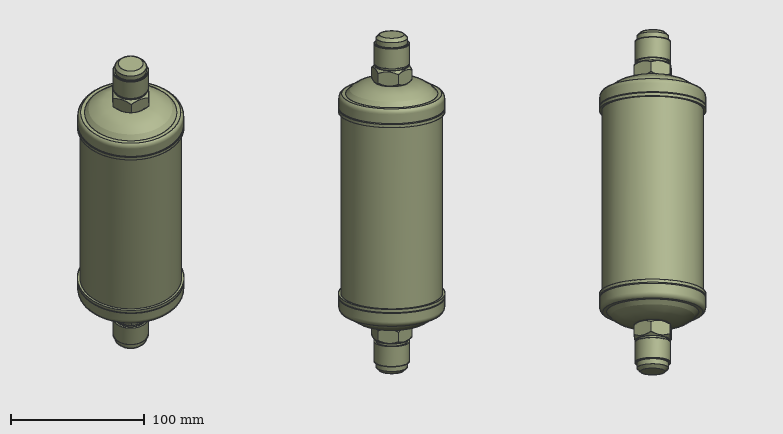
import cadquery as cq
import math

length = 264.0
half_length = length / 2

shell_radius = 76.3 / 2
cap_radius = 79.5 / 2
lip_radius = 80.0 / 2
lip_depth = 60.5
lip_height = 3.2
lip_taper_height = 0.8
shoulder_depth = 46.5
shoulder_inner_radius = 34.5
shoulder_outer_radius = 37.5
shoulder_drop = 3.7

dome_depth = 37.0
crown_radius = 14.8
dome_edge_radius = 31.5
dome_arc_drop = 6.0
dome_run = dome_edge_radius - crown_radius
dome_slope = 2 * math.atan(dome_arc_drop / dome_run)
dome_arc_radius = dome_run / math.sin(dome_slope)

nose_radius = 23.8 / 2
nose_chamfer = 2.6
thread_radius = 27.0 / 2
thread_top_depth = 6.5
thread_bottom_depth = 22.7
thread_chamfer = 0.5
hex_top_depth = 24.5
hex_flats = 27.0
hex_corners = hex_flats / math.cos(math.radians(30))
hex_height = dome_depth - hex_top_depth
hex_chamfer_angle = math.radians(40)
hex_chamfer_start = hex_flats / 2 - 0.8


def level(depth):
    """Height of a point lying the given depth below the upper end."""
    return half_length - depth


def dome_point(angle):
    """Point of the dome arc where the surface has the given slope."""
    radius = crown_radius + dome_arc_radius * math.sin(angle)
    drop = dome_arc_radius * (1 - math.cos(angle))
    return radius, level(dome_depth + drop)


def make_cap():
    """Upper end cap: lip, wall, rounded shoulder and dome."""
    shoulder_z = level(shoulder_depth)
    wall_top_z = shoulder_z - shoulder_drop
    lip_bottom_z = level(lip_depth)
    lip_top_z = lip_bottom_z + lip_height
    profile = (
        cq.Workplane("XZ")
        .moveTo(0, lip_bottom_z)
        .lineTo(lip_radius, lip_bottom_z)
        .lineTo(lip_radius, lip_top_z - lip_taper_height)
        .lineTo(cap_radius, lip_top_z)
        .lineTo(cap_radius, wall_top_z)
        .tangentArcPoint((shoulder_outer_radius, shoulder_z), relative=False)
        .lineTo(shoulder_inner_radius, shoulder_z)
        .lineTo(*dome_point(dome_slope))
        .threePointArc(dome_point(dome_slope / 2), dome_point(0))
        .lineTo(0, level(dome_depth))
        .close()
    )
    return profile.revolve(360, (0, 0, 0), (0, 1, 0))


def make_hex():
    """Hexagon with corners along X and conical chamfers at both ends."""
    prism = (
        cq.Workplane("XY", origin=(0, 0, level(dome_depth)))
        .polygon(6, hex_corners)
        .extrude(hex_height)
    )
    corner_radius = hex_corners / 2
    chamfer_height = (corner_radius - hex_chamfer_start) * math.tan(hex_chamfer_angle)
    envelope = (
        cq.Workplane("XZ", origin=(0, 0, level(dome_depth)))
        .lineTo(hex_chamfer_start, 0)
        .lineTo(corner_radius, chamfer_height)
        .lineTo(corner_radius, hex_height - chamfer_height)
        .lineTo(hex_chamfer_start, hex_height)
        .lineTo(0, hex_height)
        .close()
        .revolve(360, (0, 0, 0), (0, 1, 0))
    )
    return prism.intersect(envelope)


def make_fitting():
    """Nose, thread cylinder, relief neck and hexagon of one end."""
    nose = (
        cq.Workplane("XY", origin=(0, 0, level(dome_depth)))
        .circle(nose_radius)
        .extrude(dome_depth)
        .faces(">Z")
        .chamfer(nose_chamfer)
    )
    thread = (
        cq.Workplane("XY", origin=(0, 0, level(thread_bottom_depth)))
        .circle(thread_radius)
        .extrude(thread_bottom_depth - thread_top_depth)
        .faces(">Z")
        .chamfer(thread_chamfer)
    )
    return nose.union(thread).union(make_hex())


shell_length = 2 * level(lip_depth)
shell = cq.Workplane("XY", origin=(0, 0, -shell_length / 2)).circle(shell_radius).extrude(shell_length)
upper_end = make_cap().union(make_fitting())
lower_end = upper_end.mirror("XY")
result = shell.union(upper_end).union(lower_end).clean()